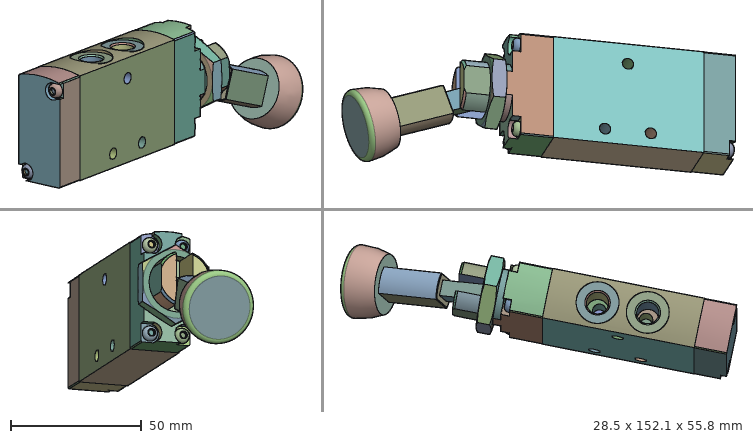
import cadquery as cq
import math

BLOCK_WIDTH = 20.0
BLOCK_HEIGHT = 43.4
TOP_CROWN = 1.4
FRONT_SPLIT_Y = 12.6
REAR_SPLIT_Y = 72.0
REAR_FACE_Y = 88.2
EDGE_CHAMFER = 0.5
HALF_WIDTH = BLOCK_WIDTH / 2
SIDE_HEIGHT = BLOCK_HEIGHT - TOP_CROWN

PORT_MIDDLE_Y = 42.6
PORT_PITCH = 19.6
SPOTFACE_DIAMETER = 16.5
SPOTFACE_DEPTH = 1.0
SPOTFACE_Z = BLOCK_HEIGHT - SPOTFACE_DEPTH
PORT_MOUTH_DIAMETER = 9.7
PORT_DIAMETER = 8.5
PORT_DEPTH = 12.2
PASSAGE_DIAMETER = 5.2
PASSAGE_PITCH = 18.3
MOUNTING_DIAMETER = 4.4
MOUNTING_PITCH = 18.1
LOWER_MOUNTING_Z = 5.8
UPPER_MOUNTING_Z = 33.8

SCREW_X = HALF_WIDTH - 3.5
LOWER_SCREW_Z = 3.5
UPPER_SCREW_Z = 38.2
FRONT_POCKET_DIAMETER = 6.8
FRONT_POCKET_DEPTH = 2.5
FRONT_OPENING_RISE = 2.6
REAR_POCKET_DIAMETER = 7.6
REAR_POCKET_DEPTH = 3.3
REAR_OPENING_WIDTH = 4.4
HEAD_DIAMETER = 6.0
HEAD_FACE_DIAMETER = 3.0
HEAD_HEIGHT = 2.5
HEAD_BULGE = 0.38
SOCKET_DIAMETER = 2.5
SOCKET_DEPTH = 1.0

AXIS_Z = 20.8
COLLAR_DIAMETER = 22.2
NECK_DIAMETER = 21.9
NECK_FLAT_WIDTH = 18.7
NECK_END_Y = 107.3
NECK_CHAMFER = 0.9
NUT_FRONT_Y = 91.3
NUT_THICKNESS = 6.0
NUT_ACROSS_FLATS = 27.0
NUT_CHAMFER_RISE = 0.6
SLOT_WIDTH = 6.8

PIVOT_Y = 92.2
LEVER_TILT = 20.1
PADDLE_START = 1.5
PADDLE_WIDTH = 6.2
PADDLE_HEIGHT = 7.9
GRIP_START = 21.3
GRIP_WIDTH = 10.6
GRIP_HEIGHT = 14.6
GRIP_CROWN = 1.4
GRIP_CHAMFER = 0.3
KNOB_START = 45.5
KNOB_END = 59.2
KNOB_BASE_RADIUS = 11.7
KNOB_DIAMETER = 28.5
KNOB_RADIUS = KNOB_DIAMETER / 2
KNOB_RIM_FILLET = 2.0


def block_section(y_start, y_end):
    """Length of the valve block: straight sides and a shallow arched top."""
    return (
        cq.Workplane("XZ", origin=(0, y_start, 0))
        .moveTo(-HALF_WIDTH, 0)
        .lineTo(HALF_WIDTH, 0)
        .lineTo(HALF_WIDTH, SIDE_HEIGHT)
        .threePointArc((0, BLOCK_HEIGHT), (-HALF_WIDTH, SIDE_HEIGHT))
        .close()
        .extrude(y_start - y_end)
    )


def cylinder_along_y(diameter, x, z, y_start, y_end):
    return cq.Workplane("XZ", origin=(x, y_start, z)).circle(diameter / 2).extrude(y_start - y_end)


def box_between(low, high):
    size = [b - a for a, b in zip(low, high)]
    return cq.Workplane("XY").box(*size, centered=False).translate(low)


def corner_pocket(side, screw_z, diameter, opening, y_start, y_end):
    """Round pocket about a screw, opened out through the block's side.

    The opening is its distance in from the side face, its lowest and its highest Z.
    """
    opening_width, z_low, z_high = opening
    pocket = cylinder_along_y(diameter, side * SCREW_X, screw_z, y_start, y_end)
    x_low, x_high = sorted((side * (HALF_WIDTH - opening_width), side * HALF_WIDTH))
    return pocket.union(box_between((x_low, y_start, z_low), (x_high, y_end, z_high)))


def button_head(side, z, seat_y, outward):
    """Domed head on a pocket floor, with a round socket; outward is +1 or -1 along Y."""
    base = HEAD_DIAMETER / 2
    face = HEAD_FACE_DIAMETER / 2
    middle = ((base + face) / 2 + HEAD_BULGE, outward * (HEAD_HEIGHT / 2 + HEAD_BULGE))
    socket_floor = outward * (HEAD_HEIGHT - SOCKET_DEPTH)
    return (
        cq.Workplane("XY")
        .lineTo(base, 0)
        .threePointArc(middle, (face, outward * HEAD_HEIGHT))
        .lineTo(SOCKET_DIAMETER / 2, outward * HEAD_HEIGHT)
        .lineTo(SOCKET_DIAMETER / 2, socket_floor)
        .lineTo(0, socket_floor)
        .close()
        .revolve(360, (0, 0), (0, 1))
        .translate((side * SCREW_X, seat_y, z))
    )


def port_cutter(y):
    """Spotface, countersunk mouth and bore of one port, revolved about its vertical axis."""
    spotface = SPOTFACE_DIAMETER / 2
    mouth = PORT_MOUTH_DIAMETER / 2
    bore = PORT_DIAMETER / 2
    half_section = [
        (0, BLOCK_HEIGHT),
        (spotface, BLOCK_HEIGHT),
        (spotface, SPOTFACE_Z),
        (mouth, SPOTFACE_Z),
        (bore, SPOTFACE_Z - (mouth - bore)),
        (bore, SPOTFACE_Z - PORT_DEPTH),
        (0, SPOTFACE_Z - PORT_DEPTH),
    ]
    profile = cq.Workplane("XZ", origin=(0, y, 0)).polyline(half_section).close()
    return profile.revolve(360, (0, 0), (0, 1))


def make_housing():
    housing = block_section(FRONT_SPLIT_Y, REAR_SPLIT_Y)
    for side in (-1, 1):
        passage_y = PORT_MIDDLE_Y + side * PASSAGE_PITCH / 2
        passage = cq.Workplane("XY", origin=(0, passage_y, AXIS_Z)).circle(PASSAGE_DIAMETER / 2)
        housing = housing.cut(port_cutter(PORT_MIDDLE_Y + side * PORT_PITCH / 2))
        housing = housing.cut(passage.extrude(SPOTFACE_Z - AXIS_Z))
    mounting_places = [
        (PORT_MIDDLE_Y, UPPER_MOUNTING_Z),
        (PORT_MIDDLE_Y - MOUNTING_PITCH / 2, LOWER_MOUNTING_Z),
        (PORT_MIDDLE_Y + MOUNTING_PITCH / 2, LOWER_MOUNTING_Z),
    ]
    mounting_holes = (
        cq.Workplane("YZ")
        .pushPoints(mounting_places)
        .circle(MOUNTING_DIAMETER / 2)
        .extrude(HALF_WIDTH, both=True)
    )
    return housing.cut(mounting_holes)


FRONT_SCREWS = [(-1, LOWER_SCREW_Z), (1, UPPER_SCREW_Z)]


def make_front_cap():
    cap = block_section(0, FRONT_SPLIT_Y).edges("|Y").chamfer(EDGE_CHAMFER)
    inset = HALF_WIDTH - SCREW_X
    lower_opening = (inset, 0, LOWER_SCREW_Z + FRONT_OPENING_RISE)
    upper_opening = (
        inset,
        UPPER_SCREW_Z - FRONT_OPENING_RISE,
        UPPER_SCREW_Z + FRONT_POCKET_DIAMETER / 2,
    )
    for (side, z), opening in zip(FRONT_SCREWS, (lower_opening, upper_opening)):
        pocket = corner_pocket(side, z, FRONT_POCKET_DIAMETER, opening, 0, FRONT_POCKET_DEPTH)
        cap = cap.cut(pocket)
    return cap


def make_front_screws():
    return [button_head(side, z, FRONT_POCKET_DEPTH, -1) for side, z in FRONT_SCREWS]


def make_neck():
    """Collar flush with the block's sides, then a flatted and slotted neck."""
    collar = cylinder_along_y(COLLAR_DIAMETER, 0, AXIS_Z, REAR_FACE_Y, NUT_FRONT_Y)
    collar = collar.intersect(block_section(REAR_FACE_Y, NUT_FRONT_Y))
    neck = cylinder_along_y(NECK_DIAMETER, 0, AXIS_Z, NUT_FRONT_Y, NECK_END_Y)
    neck = neck.faces(">Y").chamfer(NECK_CHAMFER)
    flats = NECK_FLAT_WIDTH / 2
    neck = neck.intersect(box_between((-flats, NUT_FRONT_Y, 0), (flats, NECK_END_Y, BLOCK_HEIGHT)))
    slot_half = SLOT_WIDTH / 2
    slot = box_between((-slot_half, NUT_FRONT_Y, 0), (slot_half, NECK_END_Y, BLOCK_HEIGHT))
    return collar.union(neck.cut(slot))


def make_rear_cap():
    cap = block_section(REAR_SPLIT_Y, REAR_FACE_Y).edges("|Y").chamfer(EDGE_CHAMFER)
    seat_y = REAR_FACE_Y - REAR_POCKET_DEPTH
    pocket_radius = REAR_POCKET_DIAMETER / 2
    lower_opening = (REAR_OPENING_WIDTH, 0, LOWER_SCREW_Z + pocket_radius)
    upper_opening = (REAR_OPENING_WIDTH, UPPER_SCREW_Z - pocket_radius, BLOCK_HEIGHT)
    for side in (-1, 1):
        for z, opening in ((LOWER_SCREW_Z, lower_opening), (UPPER_SCREW_Z, upper_opening)):
            cap = cap.cut(corner_pocket(side, z, REAR_POCKET_DIAMETER, opening, seat_y, REAR_FACE_Y))
            cap = cap.union(button_head(side, z, seat_y, 1))
    return cap.union(make_neck())


def make_nut():
    """Hexagon nut with a corner up, its corners chamfered on both faces, bored to fit the neck."""
    corner_radius = NUT_ACROSS_FLATS / math.sqrt(3)
    nut = (
        cq.Workplane("XZ", origin=(0, NUT_FRONT_Y, AXIS_Z))
        .polygon(6, 2 * corner_radius)
        .extrude(-NUT_THICKNESS)
        .rotate((0, 0, AXIS_Z), (0, 1, AXIS_Z), 30)
    )
    chamfer_run = corner_radius - NUT_ACROSS_FLATS / 2
    turned = cylinder_along_y(
        2 * corner_radius, 0, AXIS_Z, NUT_FRONT_Y, NUT_FRONT_Y + NUT_THICKNESS
    )
    turned = turned.edges().chamfer(NUT_CHAMFER_RISE, chamfer_run)
    bore = cylinder_along_y(NECK_DIAMETER, 0, AXIS_Z, NUT_FRONT_Y, NUT_FRONT_Y + NUT_THICKNESS)
    return nut.intersect(turned).cut(bore)


def make_lever():
    """Paddle, grip and knob, modelled straight along Y from the pivot and then tilted down."""
    paddle = box_between(
        (-PADDLE_WIDTH / 2, PADDLE_START, -PADDLE_HEIGHT / 2),
        (PADDLE_WIDTH / 2, GRIP_START, PADDLE_HEIGHT / 2),
    )
    grip_side = GRIP_WIDTH / 2
    grip_top = GRIP_HEIGHT / 2
    grip_edge = grip_top - GRIP_CROWN
    grip = (
        cq.Workplane("XZ", origin=(0, GRIP_START, 0))
        .moveTo(-grip_side, -grip_edge)
        .threePointArc((0, -grip_top), (grip_side, -grip_edge))
        .lineTo(grip_side, grip_edge)
        .threePointArc((0, grip_top), (-grip_side, grip_edge))
        .close()
        .extrude(GRIP_START - KNOB_START)
        .faces("<Y")
        .chamfer(GRIP_CHAMFER)
    )
    rim_radius = KNOB_RADIUS - KNOB_RIM_FILLET
    widest = KNOB_END - KNOB_RIM_FILLET
    knob = (
        cq.Workplane("XY")
        .moveTo(0, KNOB_END)
        .lineTo(rim_radius, KNOB_END)
        .tangentArcPoint((KNOB_RADIUS, widest), relative=False)
        .tangentArcPoint((KNOB_BASE_RADIUS, KNOB_START), relative=False)
        .lineTo(0, KNOB_START)
        .close()
        .revolve(360, (0, 0), (0, 1))
    )
    lever = paddle.union(grip).union(knob)
    return lever.rotate((0, 0, 0), (1, 0, 0), -LEVER_TILT).translate((0, PIVOT_Y, AXIS_Z))


housing = make_housing()
front_cap = make_front_cap()
front_screws = make_front_screws()
rear_cap = make_rear_cap()
nut = make_nut()
lever = make_lever()

result = cq.Compound.makeCompound(
    [
        housing.val(),
        front_cap.val(),
        *[screw.val() for screw in front_screws],
        rear_cap.val(),
        nut.val(),
        lever.val(),
    ]
)